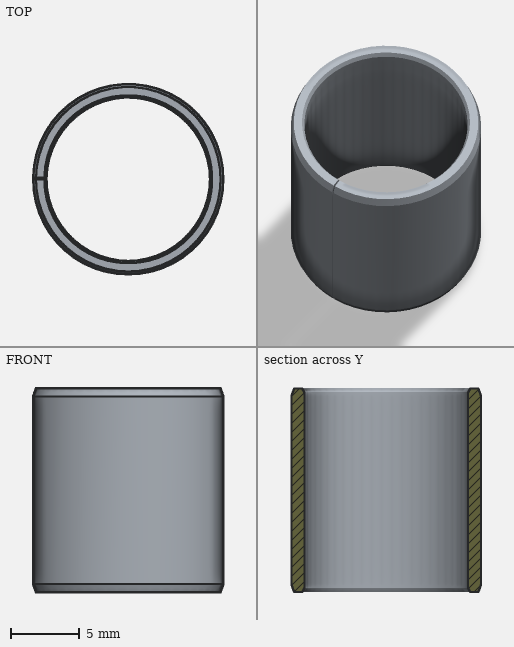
import cadquery as cq
import math

length = 15.0
outer_diameter = 14.0
inner_diameter = 12.0
outer_radius = outer_diameter / 2
inner_radius = inner_diameter / 2

outer_chamfer_height = 0.6
outer_chamfer_angle = 20.0
outer_chamfer_depth = outer_chamfer_height * math.tan(math.radians(outer_chamfer_angle))

bore_chamfer_height = 0.3
bore_chamfer_angle = 30.0
bore_chamfer_depth = bore_chamfer_height * math.tan(math.radians(bore_chamfer_angle))

slit_width = 0.12


def make_sleeve():
    """Revolve the chamfered wall section about Z, centred on the origin."""
    half_length = length / 2
    shoulder_height = half_length - outer_chamfer_height
    bore_edge_height = half_length - bore_chamfer_height
    face_outer_radius = outer_radius - outer_chamfer_depth
    face_inner_radius = inner_radius + bore_chamfer_depth
    upper_half = [
        (outer_radius, shoulder_height),
        (face_outer_radius, half_length),
        (face_inner_radius, half_length),
        (inner_radius, bore_edge_height),
    ]
    lower_half = [(radius, -height) for radius, height in reversed(upper_half)]
    section = cq.Workplane("XZ").polyline(upper_half + lower_half).close()
    return section.revolve(360, (0, 0, 0), (0, 1, 0))


def make_slit():
    """Full-length cutter from the axis out through the -X wall."""
    slit = cq.Workplane("XY").box(outer_diameter, slit_width, 2 * length)
    return slit.translate((-outer_diameter / 2, slit_width / 2, 0))


result = make_sleeve().cut(make_slit())